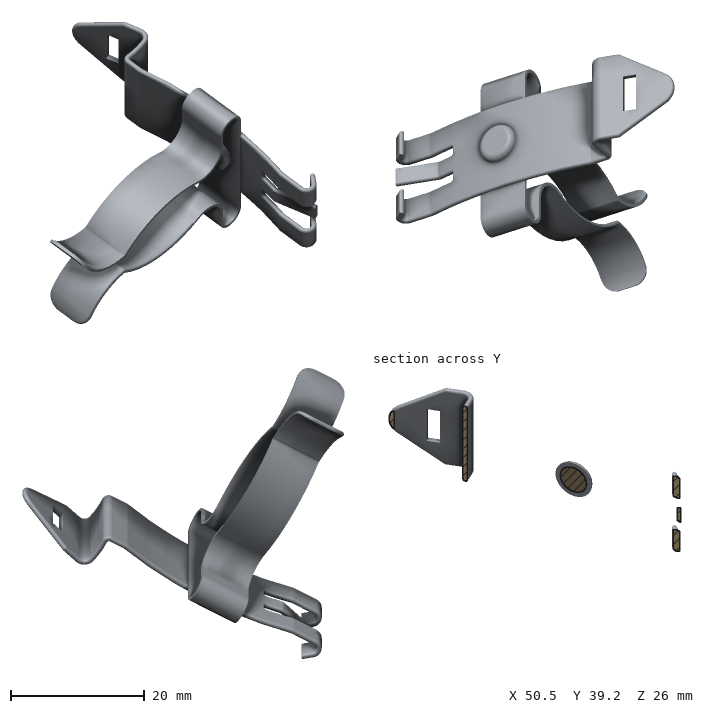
import cadquery as cq
import math

PLATE_THICKNESS = 0.8
PLATE_WIDTH = 14.15
PLATE_EDGE_ROUND = 0.38
CREASE_RADIUS = 0.5

ARCH_CENTER_X = -0.95
ARCH_SPAN = 28.45
ARCH_DEPTH = 1.5

LEFT_FLAT = 2.55
HEEL_RADIUS = 0.65
SHOULDER_RADIUS = 1.4
WALL_RADIUS = 13.15
WALL_LOWER_SWEEP = 5.0
WALL_UPPER_SWEEP = 11.0
TONGUE_SLOPE = 15.0

TONGUE_LENGTH = 11.5
TONGUE_TAPER = 32.0
NOSE_RADIUS = 2.95
SLOT_LENGTH = 5.95
SLOT_WIDTH = 2.05
SLOT_FROM_NOSE = 6.95

RIGHT_FLAT = 3.9
HOOK_RADIUS = 1.1
HOOK_TURN = 140.0
HOOK_LIP = 1.75
GAP_START_X = 9.0
GAP_CORNER_RADIUS = 0.3
GAP_OUTER_Z = 3.0
TAB_WIDTH = 2.95
TAB_CREASE_X = 11.55
TAB_LENGTH = 6.75

CLIP_THICKNESS = 0.5
CLIP_WIDTH = 7.95
CLIP_HEIGHT = 26.0
LOOP_RADIUS = 1.95
NECK_RADIUS = 3.75
NECK_CENTER_Z = 7.95
JAW_RADIUS = 15.4
LIP_RADIUS = 8.9
KINK_RADIUS = 0.3
NECK_RISE = 23.2
JAW_LEAD = 3.9
JAW_FALL = 41.0
LIP_SWEEP = 72.5
LIP_CORNER_RADIUS = 2.55
LOWER_EDGE_ROUND = 0.3

STEM_RADIUS = 2.25
HEAD_RADIUS = 2.55
HEAD_RIM_Y = -1.8
HEAD_CROWN_Y = -2.5
TAIL_RADIUS = 3.1
TAIL_Y = 1.2
TAIL_HEIGHT = 0.95


def straight(length):
    return ("straight", length, 0.0)


def bend(radius, turn):
    """Bend at a middle-of-sheet radius; positive turns are counter-clockwise, in degrees."""
    return ("bend", radius, turn)


def step_aside(point, heading, distance):
    """Point at a distance to the left of a heading given in degrees."""
    angle = math.radians(heading + 90)
    return (point[0] + distance * math.cos(angle), point[1] + distance * math.sin(angle))


def follow(point, heading, step):
    """Middle point, end point and their headings along one step of a sheet's middle line."""
    kind, size, turn = step
    if kind == "straight":
        angle = math.radians(heading)
        end = (point[0] + size * math.cos(angle), point[1] + size * math.sin(angle))
        return None, end, heading, heading
    side = math.copysign(size, turn)
    center = step_aside(point, heading, side)
    middle = step_aside(center, heading + turn / 2, -side)
    end = step_aside(center, heading + turn, -side)
    return middle, end, heading + turn / 2, heading + turn


def path_end(point, heading, steps):
    for step in steps:
        _, point, _, heading = follow(point, heading, step)
    return point, heading


def bent_sheet(plane, start, heading, steps, thickness, width):
    """Solid sheet along a path in a plane, centred on that plane across its width."""
    half = thickness / 2
    left = []
    right = []
    point = start
    first_heading = heading
    for step in steps:
        middle, point, middle_heading, heading = follow(point, heading, step)
        for rail, aside in ((left, half), (right, -half)):
            rail_middle = middle and step_aside(middle, middle_heading, aside)
            rail.append((rail_middle, step_aside(point, heading, aside)))

    left_start = step_aside(start, first_heading, half)
    right_start = step_aside(start, first_heading, -half)
    outline = cq.Workplane(plane).moveTo(*left_start)
    for middle, end in left:
        outline = outline.threePointArc(middle, end) if middle else outline.lineTo(*end)
    outline = outline.lineTo(*right[-1][1])
    right_ends = [right_start] + [end for _, end in right[:-1]]
    for (middle, _), end in zip(reversed(right), reversed(right_ends)):
        outline = outline.threePointArc(middle, end) if middle else outline.lineTo(*end)
    return outline.close().extrude(width / 2, both=True)


def tongue(root, heading):
    """Blank of the tapered strap end beyond the shoulder bend, and the slot to cut through it."""
    slope = math.radians(heading)
    plane = cq.Plane(
        origin=(root[0], root[1], 0),
        xDir=(math.cos(slope), math.sin(slope), 0),
        normal=(-math.sin(slope), math.cos(slope), 0),
    )
    half_width = PLATE_WIDTH / 2
    taper = math.radians(TONGUE_TAPER)
    nose_center = TONGUE_LENGTH - NOSE_RADIUS
    tangent_x = nose_center + NOSE_RADIUS * math.sin(taper)
    tangent_y = NOSE_RADIUS * math.cos(taper)
    taper_start = tangent_x - (half_width - tangent_y) / math.tan(taper)
    blank = (
        cq.Workplane(plane)
        .moveTo(0, half_width)
        .lineTo(taper_start, half_width)
        .lineTo(tangent_x, tangent_y)
        .threePointArc((TONGUE_LENGTH, 0), (tangent_x, -tangent_y))
        .lineTo(taper_start, -half_width)
        .lineTo(0, -half_width)
        .close()
        .extrude(PLATE_THICKNESS / 2, both=True)
    )
    slot = (
        cq.Workplane(plane)
        .center(TONGUE_LENGTH - SLOT_FROM_NOSE, 0)
        .rect(SLOT_WIDTH, SLOT_LENGTH)
        .extrude(PLATE_THICKNESS, both=True)
    )
    return blank, slot


def is_outline_edge(edge, prong_tip):
    """True for edges between the plate's faces and its rim, except at the square tab end."""
    tolerance = 0.01
    along_width = edge.geomType() == "LINE" and abs(edge.tangentAt(0).z) > 1 - tolerance
    across_thickness = abs(edge.Length() - PLATE_THICKNESS) < tolerance
    gap_end = along_width and edge.Length() < GAP_OUTER_Z - TAB_WIDTH / 2
    center = edge.Center()
    tip_distance = math.hypot(center.x - prong_tip[0], center.y - prong_tip[1])
    prong_end = along_width and tip_distance < PLATE_THICKNESS / 1 + tolerance
    return gap_end or prong_end or not (along_width or across_thickness)


def make_plate():
    half_span = ARCH_SPAN / 2
    front_radius = (half_span**2 + ARCH_DEPTH**2) / (2 * ARCH_DEPTH)
    arch_radius = front_radius + PLATE_THICKNESS / 2
    arch_angle = math.degrees(math.asin(half_span / front_radius))
    tab_arch_angle = math.degrees(math.asin((TAB_CREASE_X - ARCH_CENTER_X) / front_radius))
    crown = (ARCH_CENTER_X, PLATE_THICKNESS / 2)

    left_steps = [
        bend(arch_radius, arch_angle),
        bend(CREASE_RADIUS, -arch_angle),
        straight(LEFT_FLAT),
        bend(HEEL_RADIUS, -90 - WALL_LOWER_SWEEP),
        bend(WALL_RADIUS, WALL_LOWER_SWEEP + WALL_UPPER_SWEEP),
        bend(SHOULDER_RADIUS, 90 + TONGUE_SLOPE - WALL_UPPER_SWEEP),
    ]
    right_steps = [
        bend(arch_radius, -arch_angle),
        bend(CREASE_RADIUS, arch_angle),
        straight(RIGHT_FLAT),
        bend(HOOK_RADIUS, HOOK_TURN),
        straight(HOOK_LIP),
    ]
    tab_steps = [
        bend(arch_radius, -tab_arch_angle),
        bend(CREASE_RADIUS, tab_arch_angle + TONGUE_SLOPE),
        straight(TAB_LENGTH),
    ]
    left = bent_sheet("XY", crown, 180, left_steps, PLATE_THICKNESS, PLATE_WIDTH)
    prongs = bent_sheet("XY", crown, 0, right_steps, PLATE_THICKNESS, PLATE_WIDTH)
    tab = bent_sheet("XY", crown, 0, tab_steps, PLATE_THICKNESS, TAB_WIDTH)

    reach = 15.15
    opening = (
        cq.Workplane("XY")
        .box(reach, reach, 2 * GAP_OUTER_Z, centered=(False, True, True))
        .translate((GAP_START_X, 0, 0))
        .edges("<X and |Y")
        .fillet(GAP_CORNER_RADIUS)
    )

    strap, slot = tongue(*path_end(crown, 180, left_steps))
    plate = left.union(prongs.cut(opening)).union(tab).union(strap).clean()

    margin = 0.05
    gap_ends = cq.selectors.BoxSelector(
        (GAP_START_X - margin, -reach, -TAB_WIDTH / 2 - margin),
        (GAP_START_X + margin, reach, TAB_WIDTH / 2 + margin),
    )
    plate = plate.edges("|Y").edges(gap_ends).fillet(GAP_CORNER_RADIUS)

    prong_tip, _ = path_end(crown, 0, right_steps)
    rim = [edge for edge in plate.edges().vals() if is_outline_edge(edge, prong_tip)]
    plate = plate.newObject(rim).fillet(PLATE_EDGE_ROUND)

    clip_seat = cq.Workplane("XY").box(
        CLIP_WIDTH, CLIP_THICKNESS, CLIP_HEIGHT, centered=(True, False, True)
    ).translate((0, -CLIP_THICKNESS, 0))
    return plate.cut(slot).cut(rivet_hole()).cut(clip_seat)


def rivet_hole():
    return cq.Workplane("XZ").circle(STEM_RADIUS).extrude(TAIL_Y, both=True)


def clip_half(round_mouth_edges):
    """Half of the clip above its mid-plane, from the base to the flared lip."""
    loop_z = CLIP_HEIGHT / 2 - LOOP_RADIUS - CLIP_THICKNESS / 2
    base_middle = (-CLIP_THICKNESS / 2, 0)
    spring_steps = [
        straight(loop_z),
        bend(LOOP_RADIUS, 180),
        straight(loop_z - NECK_CENTER_Z),
        bend(NECK_RADIUS, -90 - NECK_RISE),
        bend(JAW_RADIUS, JAW_LEAD),
    ]
    arm_steps = [
        bend(JAW_RADIUS, NECK_RISE + JAW_FALL - JAW_LEAD),
        bend(KINK_RADIUS, -JAW_FALL),
        bend(LIP_RADIUS, -LIP_SWEEP),
    ]
    spring = bent_sheet("YZ", base_middle, 90, spring_steps, CLIP_THICKNESS, CLIP_WIDTH)
    arm_start, arm_heading = path_end(base_middle, 90, spring_steps)
    arm = bent_sheet("YZ", arm_start, arm_heading, arm_steps, CLIP_THICKNESS, CLIP_WIDTH)

    tip, _ = path_end(arm_start, arm_heading, arm_steps)
    tip_corners = [
        edge for edge in arm.edges("not |X").vals()
        if math.hypot(edge.Center().y - tip[0], edge.Center().z - tip[1]) < CLIP_THICKNESS / 4
    ]
    arm = arm.newObject(tip_corners).fillet(LIP_CORNER_RADIUS)
    if round_mouth_edges:
        mouth_radius = JAW_RADIUS - CLIP_THICKNESS / 2
        jaw_edges = [
            edge for edge in arm.edges("%CIRCLE").vals()
            if abs(edge.radius() - mouth_radius) < CLIP_THICKNESS / 4
        ]
        arm = arm.newObject(jaw_edges).fillet(LOWER_EDGE_ROUND)
    return spring.union(arm)


def make_clip():
    upper = clip_half(round_mouth_edges=False)
    lower = clip_half(round_mouth_edges=True).mirror("XY")
    return upper.union(lower).clean().cut(rivet_hole())


def make_rivet():
    crown_height = HEAD_RIM_Y - HEAD_CROWN_Y
    dome_radius = (HEAD_RADIUS**2 + crown_height**2) / (2 * crown_height)
    dome_mid_radius = HEAD_RADIUS / 2
    dome_mid_y = HEAD_CROWN_Y + dome_radius - math.sqrt(dome_radius**2 - dome_mid_radius**2)
    return (
        cq.Workplane("XY")
        .moveTo(0, HEAD_CROWN_Y)
        .lineTo(0, TAIL_Y + TAIL_HEIGHT)
        .lineTo(TAIL_RADIUS - TAIL_HEIGHT, TAIL_Y + TAIL_HEIGHT)
        .tangentArcPoint((TAIL_RADIUS, TAIL_Y), relative=False)
        .lineTo(STEM_RADIUS, TAIL_Y)
        .lineTo(STEM_RADIUS, -CLIP_THICKNESS)
        .lineTo(HEAD_RADIUS, -CLIP_THICKNESS)
        .lineTo(HEAD_RADIUS, HEAD_RIM_Y)
        .threePointArc((dome_mid_radius, dome_mid_y), (0, HEAD_CROWN_Y))
        .close()
        .revolve(360, (0, 0, 0), (0, 1, 0))
    )


plate = make_plate()
clip = make_clip()
rivet = make_rivet()
result = cq.Compound.makeCompound([plate.val(), clip.val(), rivet.val()])